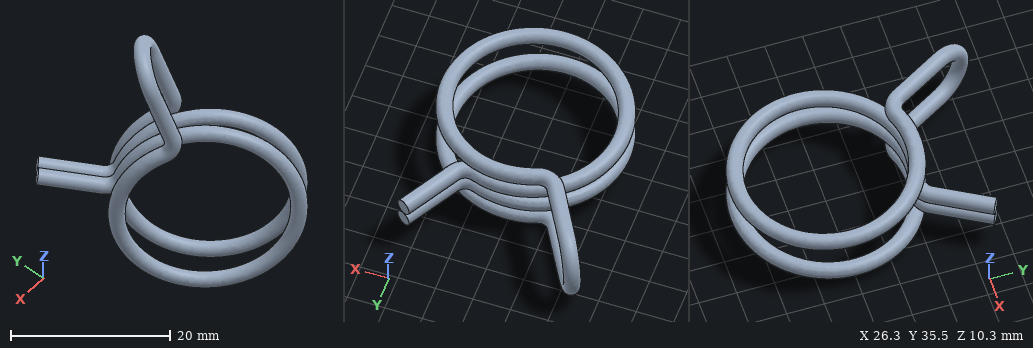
import cadquery as cq
import math

overall_height = 10.3
wire_diameter = 2.2
coil_radius = 11.5
bend_radius = 2.25
coil_start_angle = 110.7
coil_end_angle = 180.0 - coil_start_angle
loop_leg_angle = 120.0
tail_angle = 180.0 - loop_leg_angle
loop_leg_length = 7.6
tail_length = 8.3
tail_height = 1.15
coil_step = 40.0

wire_radius = wire_diameter / 2
leg_height = overall_height / 2 - wire_radius
coil_sweep = 360.0 + coil_start_angle - coil_end_angle


def polar(radius, angle, z):
    """Point at a radius and an angle in degrees around the Z axis."""
    return cq.Vector(
        radius * math.cos(math.radians(angle)),
        radius * math.sin(math.radians(angle)),
        z,
    )


def coil_edge():
    """Helical turn going clockwise and down, with level ends."""
    steps = math.ceil(coil_sweep / coil_step)
    travels = [i / steps for i in range(steps + 1)]
    points = []
    for travel in travels:
        angle = coil_start_angle - travel * coil_sweep
        z = leg_height + travel * (tail_height - leg_height)
        points.append(polar(coil_radius, angle, z))
    speed = coil_radius * math.radians(coil_sweep)
    start_tangent = polar(speed, coil_start_angle - 90, 0)
    end_tangent = polar(speed, coil_end_angle - 90, 0)
    return cq.Edge.makeSpline(
        points,
        tangents=[start_tangent, end_tangent],
        parameters=travels,
        scale=False,
    )


def bend_points(coil_angle, straight_angle, side, z):
    """Start, middle and end of the level bend from the coil to a straight.

    Looking outward along the straight, it passes its bend's centre on the
    left (side = 1) or on the right (side = -1).
    """
    center = polar(coil_radius + bend_radius, coil_angle, z)
    from_angle = coil_angle + 180
    to_angle = straight_angle + side * 90
    turn = (to_angle - from_angle + 180) % 360 - 180
    angles = (from_angle, from_angle + turn / 2, to_angle)
    return [center + polar(bend_radius, angle, 0) for angle in angles]


def upper_wire():
    """Half of the clamp, from the top of the loop to the end of the upper tail."""
    leg_bend = bend_points(coil_start_angle, loop_leg_angle, 1, leg_height)
    tail_bend = bend_points(coil_end_angle, tail_angle, -1, tail_height)

    loop_heading = polar(1, loop_leg_angle, 0)
    loop_start = leg_bend[2] + loop_heading * loop_leg_length
    loop_center = loop_start - cq.Vector(0, 0, leg_height)
    loop_tip = loop_center + loop_heading * leg_height
    diagonal = (loop_heading + cq.Vector(0, 0, 1)).normalized()
    loop_middle = loop_center + diagonal * leg_height

    tail_end = tail_bend[2] + polar(tail_length, tail_angle, 0)

    path = cq.Wire.assembleEdges([
        cq.Edge.makeThreePointArc(loop_tip, loop_middle, loop_start),
        cq.Edge.makeLine(loop_start, leg_bend[2]),
        cq.Edge.makeThreePointArc(leg_bend[2], leg_bend[1], leg_bend[0]),
        coil_edge(),
        cq.Edge.makeThreePointArc(*tail_bend),
        cq.Edge.makeLine(tail_bend[2], tail_end),
    ])
    section = cq.Workplane(cq.Plane(loop_tip, loop_heading, cq.Vector(0, 0, 1)))
    return section.circle(wire_radius).sweep(path)


upper_half = upper_wire()
lower_half = upper_half.mirror("XY")
result = upper_half.union(lower_half)